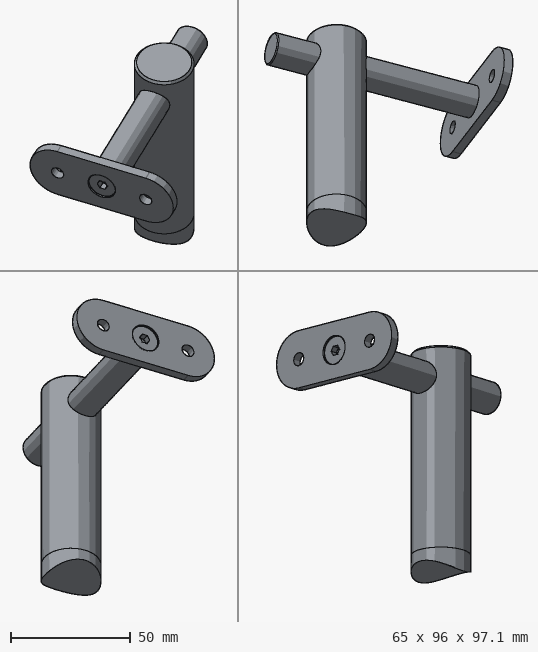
import cadquery as cq
import math


POST_DIAMETER = 24.9
POST_RADIUS = POST_DIAMETER / 2
POST_TOP = 13.0
POST_LENGTH = 87.9
POST_BOTTOM = POST_TOP - POST_LENGTH
POST_TOP_CHAMFER = 1.0

OVERALL_HEIGHT = 97.1
SADDLE_HEIGHT = OVERALL_HEIGHT - POST_LENGTH
SADDLE_BOTTOM = POST_BOTTOM - SADDLE_HEIGHT
RAIL_RADIUS = 21.2

PLATE_LENGTH = 65.0
PLATE_HEIGHT = POST_DIAMETER
PLATE_THICKNESS = 4.0
PLATE_FACE_Y = -66.0
FIXING_HOLE_DIAMETER = 5.5
FIXING_HOLE_OFFSET = 20.0

BAR_DIAMETER = 14.0
BAR_FRONT_Y = PLATE_FACE_Y + PLATE_THICKNESS
BAR_BACK_Y = 30.0
BAR_CHAMFER = 0.5

RECESS_DIAMETER = 12.4
RECESS_DEPTH = 0.8
HEAD_FACE_Y = PLATE_FACE_Y + RECESS_DEPTH
HEAD_RADIUS = 6.0
SHANK_RADIUS = 3.0
HEAD_HEIGHT = HEAD_RADIUS - SHANK_RADIUS
SCREW_LENGTH = 16.0
SOCKET_ACROSS_FLATS = 4.0
SOCKET_ACROSS_CORNERS = SOCKET_ACROSS_FLATS / math.cos(math.pi / 6)
SOCKET_DEPTH = 3.1
SOCKET_POINT_DEPTH = 1.2


def plane_facing_back(y):
    """Plane at the given Y whose normal points along +Y."""
    return cq.Workplane(cq.Plane((0, y, 0), xDir=(1, 0, 0), normal=(0, 1, 0)))


def rod_along_y(diameter, start_y, end_y):
    return plane_facing_back(start_y).circle(diameter / 2).extrude(end_y - start_y)


def cone_along_y(start_radius, end_radius, start_y, height):
    return cq.Workplane(
        cq.Solid.makeCone(start_radius, end_radius, height, cq.Vector(0, start_y, 0), cq.Vector(0, 1, 0))
    )


def make_screw_envelope():
    """Outside of the screw without its hex socket."""
    head = cone_along_y(HEAD_RADIUS, SHANK_RADIUS, HEAD_FACE_Y, HEAD_HEIGHT)
    shank = rod_along_y(2 * SHANK_RADIUS, HEAD_FACE_Y + HEAD_HEIGHT, HEAD_FACE_Y + SCREW_LENGTH)
    return head.union(shank)


def make_screw():
    socket = plane_facing_back(HEAD_FACE_Y).polygon(6, SOCKET_ACROSS_CORNERS).extrude(SOCKET_DEPTH)
    socket_point = cone_along_y(
        SOCKET_ACROSS_FLATS / 2, 0, HEAD_FACE_Y + SOCKET_DEPTH, SOCKET_POINT_DEPTH
    )
    return make_screw_envelope().cut(socket).cut(socket_point)


def make_bar():
    bar = rod_along_y(BAR_DIAMETER, BAR_FRONT_Y, BAR_BACK_Y).faces(">Y").chamfer(BAR_CHAMFER)
    return bar.cut(make_screw_envelope())


def make_post():
    post = cq.Workplane().workplane(offset=POST_BOTTOM).circle(POST_RADIUS).extrude(POST_LENGTH)
    post = post.faces(">Z").chamfer(POST_TOP_CHAMFER)
    return post.cut(rod_along_y(BAR_DIAMETER, -POST_RADIUS, POST_RADIUS))


def make_saddle():
    saddle = cq.Workplane().workplane(offset=SADDLE_BOTTOM).circle(POST_RADIUS).extrude(SADDLE_HEIGHT)
    rail_axis_z = SADDLE_BOTTOM - math.sqrt(RAIL_RADIUS**2 - POST_RADIUS**2)
    rail = rod_along_y(2 * RAIL_RADIUS, -POST_RADIUS, POST_RADIUS).translate((0, 0, rail_axis_z))
    return saddle.cut(rail)


def make_plate():
    plate = plane_facing_back(PLATE_FACE_Y).slot2D(PLATE_LENGTH, PLATE_HEIGHT).extrude(PLATE_THICKNESS)
    fixing_holes = (
        plane_facing_back(PLATE_FACE_Y)
        .pushPoints([(-FIXING_HOLE_OFFSET, 0), (FIXING_HOLE_OFFSET, 0)])
        .circle(FIXING_HOLE_DIAMETER / 2)
        .extrude(PLATE_THICKNESS)
    )
    recess = rod_along_y(RECESS_DIAMETER, PLATE_FACE_Y, HEAD_FACE_Y)
    return plate.cut(fixing_holes).cut(recess).cut(make_screw_envelope())


post = make_post()
saddle = make_saddle()
bar = make_bar()
plate = make_plate()
screw = make_screw()

result = cq.Compound.makeCompound([post.val(), saddle.val(), bar.val(), plate.val(), screw.val()])